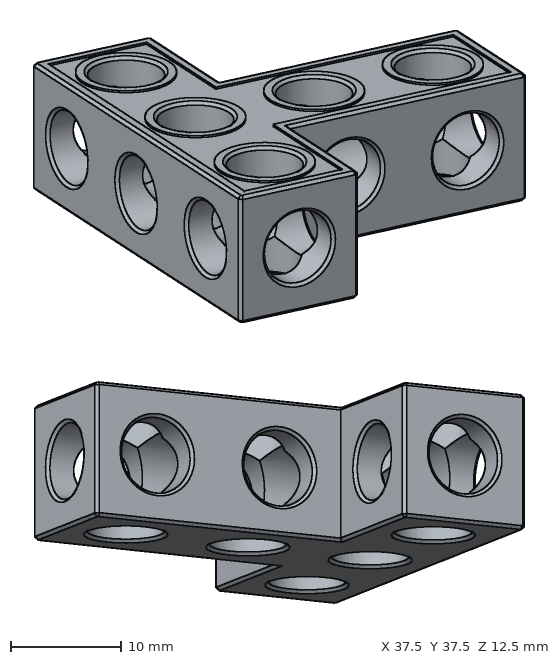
import cadquery as cq

overall_length = 37.5
cells_per_side = 3
cell = overall_length / cells_per_side
hole_diameter = 7.0
edge_chamfer = 0.3
border_width = 1.1
ring_diameter = 9.2
recess_depth = 0.2

half_cell = cell / 2
half_length = overall_length / 2
stem_end = overall_length - half_cell

bar_positions = [-cell, 0, cell]
stem_positions = [0, cell, 2 * cell]
cell_centres = [(x, 0) for x in bar_positions] + [(0, y) for y in stem_positions[1:]]


def tee_outline(inset=0.0):
    """Corner points of the T-shaped outline, moved inward by inset."""
    bar_x = half_length - inset
    bar_y = half_cell - inset
    stem_x = half_cell - inset
    stem_y = stem_end - inset
    return [
        (-bar_x, -bar_y),
        (bar_x, -bar_y),
        (bar_x, bar_y),
        (stem_x, bar_y),
        (stem_x, stem_y),
        (-stem_x, stem_y),
        (-stem_x, bar_y),
        (-bar_x, bar_y),
    ]


def chamfered_tee():
    """T-shaped block with every outer edge chamfered; the two inner corners stay sharp."""
    block = cq.Workplane("XY", origin=(0, 0, -half_cell)).polyline(tee_outline()).close().extrude(cell)
    bar_ends = block.faces("<X or >X").edges("|Z")
    stem_corners = block.faces(">Y").edges("|Z")
    block = block.newObject(bar_ends.vals() + stem_corners.vals()).chamfer(edge_chamfer)
    return block.faces("<Z or >Z").edges().chamfer(edge_chamfer)


def top_recess():
    """Shallow pocket inside the top border, leaving a ring around each hole."""
    floor = cq.Workplane("XY", origin=(0, 0, half_cell - recess_depth))
    pocket = floor.polyline(tee_outline(border_width)).close().extrude(recess_depth)
    rings = floor.pushPoints(cell_centres).circle(ring_diameter / 2).extrude(recess_depth)
    return pocket.cut(rings)


def hole_cutter(start, direction, length):
    """Through-hole cutter from start along direction, flared at both mouths."""
    radius = hole_diameter / 2
    mouth_radius = radius + edge_chamfer
    origin = cq.Vector(*start)
    axis = cq.Vector(*direction)
    far_end = origin + axis * length
    bore = cq.Solid.makeCylinder(radius, length, origin, axis)
    near_flare = cq.Solid.makeCone(mouth_radius, radius, edge_chamfer, origin, axis)
    far_flare = cq.Solid.makeCone(mouth_radius, radius, edge_chamfer, far_end, axis * -1)
    return bore.fuse(near_flare, far_flare)


result = chamfered_tee().cut(top_recess())

for x, y in cell_centres:
    result = result.cut(hole_cutter((x, y, -half_cell), (0, 0, 1), cell))

for y in stem_positions:
    reach = half_length if y == 0 else half_cell
    result = result.cut(hole_cutter((-reach, y, 0), (1, 0, 0), 2 * reach))

for x in bar_positions:
    reach = overall_length if x == 0 else cell
    result = result.cut(hole_cutter((x, -half_cell, 0), (0, 1, 0), reach))